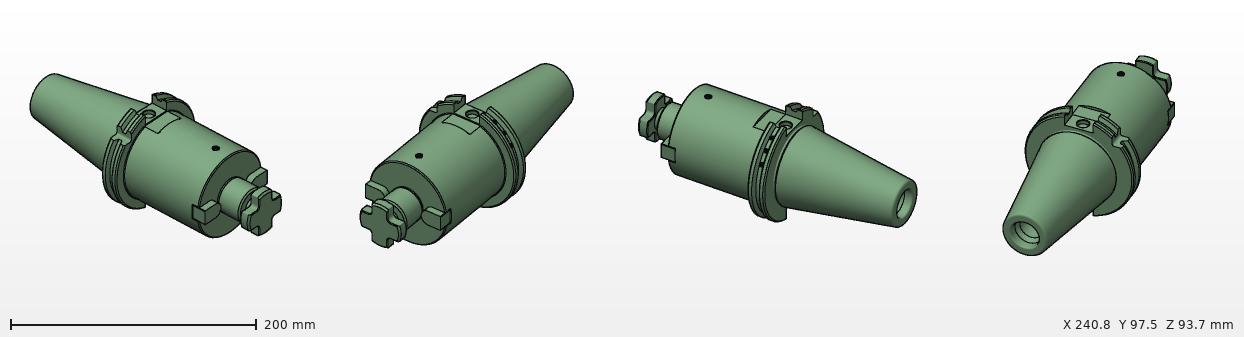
import cadquery as cq
import math

total_length = 240.8

gauge_x = 101.8
gauge_radius = 70.0 / 2
taper_ratio = 7 / 24
taper_tip_radius = gauge_radius - gauge_x * taper_ratio / 2
taper_tip_round = 2.2
neck_radius = 34.2
neck_chamfer_length = 1.2
neck_fillet = 0.7

flange_start = 104.7
flange_end = 120.5
flange_radius = 97.5 / 2
flange_chamfer = 1.2
groove_center_x = 112.7
groove_floor_radius = 45.5
groove_floor_width = 3.4
groove_half_angle = 30.0
groove_lip = 0.5

slot_width = 25.8
slot_rim_chamfer = 0.7
upper_slot_floor = 37.5
lower_slot_floor = 35.5
chip_hole_x = 113.0
chip_hole_diameter = 10.0
chip_hole_rim_diameter = 11.0
chip_hole_depth = 3.9

notch_offset = 29.9
notch_fillet = 2.2

body_radius = 39.0
body_end = 201.7
body_chamfer = 1.0
root_fillet = 0.7
flat_height = 36.4
flat_end = 135.3

pilot_radius = 32.0 / 2
pilot_end = 226.0
pilot_chamfer = 1.5
undercut_radius = 31.3 / 2
undercut_length = 1.7

pilot_bore_radius = 25.0 / 2
pilot_bore_depth = 8.0
mouth_round = 1.5
thread_major_radius = 12.0
thread_start = 9.5
thread_lead_in = 3.5
thread_bore_radius = 21.0 / 2
thread_bore_depth = 48.2
bore_floor_radius = 14.0 / 2
bore_cone_length = 3.4

key_angles = (0, 180)
key_width = 14.0
key_start = 194.8
key_end = 208.2
key_outer_y = 38.0
key_inner_y = 18.3
key_chamfer = 0.5

shank_radius = 17.0 / 2
shank_start = 192.5
head_start = 231.4
head_radius = 41.6 / 2
head_flare_length = 3.0
head_flare_height = 1.0
head_rim_chamfer = 1.7
lobe_width = 16.1
lobe_inner_radius = 3.1
lobe_edge = 0.7

groove_screw_diameter = 3.5
groove_screw_length = 7.2
groove_screw_recess = 1.0
groove_screw_top = groove_floor_radius - groove_screw_recess
groove_screw_angles = (30, 45, 60)
body_screw_diameter = 5.0
body_screw_rim_diameter = 6.0
body_screw_length = 9.6
body_screw_recess = 1.0
body_screw_top = body_radius - body_screw_recess
body_screw_x = 186.0
screw_chamfer_ratio = 0.1
socket_ratio = 0.5
socket_depth_ratio = 0.5


def revolve_about_x(profile):
    return profile.close().revolve(360, (0, 0, 0), (1, 0, 0))


def box_between(x_range, y_range, z_range):
    size = [high - low for low, high in (x_range, y_range, z_range)]
    return cq.Workplane("XY").box(*size, centered=False).translate(
        (x_range[0], y_range[0], z_range[0])
    )


def turned_blank():
    """Taper, neck, flange, body and pilot as one turned outline."""
    root_x = flange_end + root_fillet
    blank = revolve_about_x(
        cq.Workplane("XY")
        .moveTo(0, 0)
        .lineTo(0, taper_tip_radius)
        .lineTo(gauge_x, gauge_radius)
        .lineTo(gauge_x + neck_chamfer_length, neck_radius)
        .lineTo(flange_start - neck_fillet, neck_radius)
        .radiusArc((flange_start, neck_radius + neck_fillet), -neck_fillet)
        .lineTo(flange_start, flange_radius - flange_chamfer)
        .lineTo(flange_start + flange_chamfer, flange_radius)
        .lineTo(flange_end - flange_chamfer, flange_radius)
        .lineTo(flange_end, flange_radius - flange_chamfer)
        .lineTo(flange_end, body_radius + root_fillet)
        .radiusArc((root_x, body_radius), -root_fillet)
        .lineTo(body_end - body_chamfer, body_radius)
        .lineTo(body_end, body_radius - body_chamfer)
        .lineTo(body_end, undercut_radius)
        .lineTo(body_end + undercut_length, undercut_radius)
        .lineTo(body_end + undercut_length, pilot_radius)
        .lineTo(pilot_end - pilot_chamfer, pilot_radius)
        .lineTo(pilot_end, pilot_radius - pilot_chamfer)
        .lineTo(pilot_end, 0)
    )
    return blank.faces("<X").edges().fillet(taper_tip_round)


def gripper_groove():
    """V-groove ring with a flat floor and chamfered lips."""
    half_floor = groove_floor_width / 2
    lip_radius = flange_radius - groove_lip
    half_mouth = half_floor + (lip_radius - groove_floor_radius) * math.tan(math.radians(groove_half_angle))
    half_lip = half_mouth + groove_lip
    return revolve_about_x(
        cq.Workplane("XY")
        .moveTo(groove_center_x - half_floor, groove_floor_radius)
        .lineTo(groove_center_x - half_mouth, lip_radius)
        .lineTo(groove_center_x - half_lip, flange_radius)
        .lineTo(groove_center_x + half_lip, flange_radius)
        .lineTo(groove_center_x + half_mouth, lip_radius)
        .lineTo(groove_center_x + half_floor, groove_floor_radius)
    )


def drawbar_bore():
    """Rounded mouth, pilot bore, conical lead-in and threaded bore with a conical end."""
    return revolve_about_x(
        cq.Workplane("XY")
        .moveTo(0, 0)
        .lineTo(0, pilot_bore_radius + mouth_round)
        .radiusArc((mouth_round, pilot_bore_radius), -mouth_round)
        .lineTo(pilot_bore_depth, pilot_bore_radius)
        .lineTo(thread_start, thread_major_radius)
        .lineTo(thread_start + thread_lead_in, thread_bore_radius)
        .lineTo(thread_bore_depth, thread_bore_radius)
        .lineTo(thread_bore_depth + bore_cone_length, bore_floor_radius)
        .lineTo(thread_bore_depth + bore_cone_length, 0)
    )


def rim_hole(diameter, rim_diameter, bottom, surface):
    """Round hole cutter along Z with a 45 degree chamfer from its rim diameter at the surface."""
    hole = cq.Workplane("XY", origin=(0, 0, bottom)).circle(diameter / 2).extrude(surface - bottom)
    chamfer_depth = (rim_diameter - diameter) / 2
    rim = cq.Solid.makeCone(
        diameter / 2, rim_diameter / 2, chamfer_depth, cq.Vector(0, 0, surface - chamfer_depth)
    )
    return hole.union(cq.Workplane(rim))


def drive_slot(floor_height):
    """Slot cutter on the +Z side, flared where its walls meet the flange rim."""
    half_width = slot_width / 2
    flare_height = math.sqrt(flange_radius**2 - half_width**2) - slot_rim_chamfer
    flare = flange_radius - flare_height
    return (
        cq.Workplane("YZ", origin=(flange_start, 0, 0))
        .moveTo(-half_width, floor_height)
        .lineTo(half_width, floor_height)
        .lineTo(half_width, flare_height)
        .lineTo(half_width + flare, flange_radius)
        .lineTo(-half_width - flare, flange_radius)
        .lineTo(-half_width, flare_height)
        .close()
        .extrude(flange_end - flange_start)
    )


def upper_drive_slot():
    """Slot on the +Z side, the blind round hole in its floor and the flat behind it."""
    flat = box_between((flange_end, flat_end), (-body_radius, body_radius), (flat_height, flange_radius))
    chip_hole = rim_hole(
        chip_hole_diameter, chip_hole_rim_diameter, upper_slot_floor - chip_hole_depth, upper_slot_floor
    )
    return drive_slot(upper_slot_floor).union(flat).union(chip_hole.translate((chip_hole_x, 0, 0)))


def lower_drive_slot():
    """Slot on the -Z side with a half-round end milled into the body."""
    round_end = (
        cq.Workplane("XY", origin=(flange_end, 0, lower_slot_floor))
        .circle(slot_width / 2)
        .extrude(body_radius + root_fillet - lower_slot_floor)
    )
    half_round = round_end.intersect(
        box_between((flange_end, flat_end), (-slot_width, slot_width), (0, flange_radius))
    )
    slot = drive_slot(lower_slot_floor).union(half_round)
    return slot.rotate((0, 0, 0), (1, 0, 0), 180)


def rim_notch():
    """Square notch at the -Y, +Z corner of the flange with a rounded inner edge."""
    return box_between(
        (flange_start, flange_end), (-flange_radius, -notch_offset), (notch_offset, flange_radius)
    ).edges("|X and >Y and <Z").fillet(notch_fillet)


def key_outline(outer_y):
    """Key shape seen along X: straight sides and a full-round inner end."""
    half_width = key_width / 2
    round_center_y = key_inner_y + half_width
    return (
        cq.Workplane("YZ", origin=(key_start, 0, 0))
        .moveTo(outer_y, -half_width)
        .lineTo(outer_y, half_width)
        .lineTo(round_center_y, half_width)
        .threePointArc((key_inner_y, 0), (round_center_y, -half_width))
        .close()
    )


def make_key(angle):
    key = key_outline(key_outer_y).extrude(key_end - key_start)
    key = key.faces(">Y").edges("not >X").chamfer(key_chamfer)
    return key.rotate((0, 0, 0), (1, 0, 0), angle)


def key_seat(angle):
    seat = key_outline(body_radius).extrude(body_end - key_start)
    return seat.rotate((0, 0, 0), (1, 0, 0), angle)


def place_screw(shape, x, angle):
    """Turn a shape standing along +Z by an angle towards +Y and move it along X."""
    return shape.rotate((0, 0, 0), (1, 0, 0), -angle).translate((x, 0, 0))


def set_screw(diameter, length, top_radius):
    """Headless screw along +Z with a hexagon socket in its top."""
    socket_across_corners = diameter * socket_ratio / math.cos(math.radians(30))
    return (
        cq.Workplane("XY", origin=(0, 0, top_radius - length))
        .circle(diameter / 2)
        .extrude(length)
        .faces(">Z")
        .chamfer(diameter * screw_chamfer_ratio)
        .faces(">Z")
        .workplane()
        .polygon(6, socket_across_corners)
        .cutBlind(-diameter * socket_depth_ratio)
    )


def make_groove_screw(angle):
    screw = set_screw(groove_screw_diameter, groove_screw_length, groove_screw_top)
    return place_screw(screw, groove_center_x, angle)


def groove_screw_hole(angle):
    bottom = groove_screw_top - groove_screw_length
    hole = (
        cq.Workplane("XY", origin=(0, 0, bottom))
        .circle(groove_screw_diameter / 2)
        .extrude(flange_radius - bottom)
    )
    return place_screw(hole, groove_center_x, angle)


def make_body_screw():
    screw = set_screw(body_screw_diameter, body_screw_length, body_screw_top)
    return place_screw(screw, body_screw_x, 0)


def body_screw_hole():
    bottom = body_screw_top - body_screw_length
    hole = rim_hole(body_screw_diameter, body_screw_rim_diameter, bottom, body_radius)
    return place_screw(hole, body_screw_x, 0)


def cross_head():
    """Four-lobed screw head with broken edges and a turned chamfer on its outer rim."""
    head_length = total_length - head_start
    head_plane = cq.Workplane("YZ", origin=(head_start, 0, 0))
    disc = head_plane.circle(head_radius).extrude(head_length)
    cross = head_plane.rect(2 * head_radius, lobe_width).extrude(head_length)
    cross = cross.union(head_plane.rect(lobe_width, 2 * head_radius).extrude(head_length))
    inner_corners = cq.selectors.BoxSelector(
        (head_start, -lobe_width, -lobe_width), (total_length, lobe_width, lobe_width)
    )
    tip_corners = cq.selectors.ParallelDirSelector(cq.Vector(1, 0, 0)) - inner_corners
    head = cross.intersect(disc)
    head = head.edges(tip_corners).fillet(lobe_edge)
    head = head.edges(inner_corners).edges("|X").fillet(lobe_inner_radius)
    head = head.faces("<X or >X").chamfer(lobe_edge)
    return head.intersect(disc.faces(">X").chamfer(head_rim_chamfer))


def make_arbor_screw():
    """Plain shank with a concave flare under the cross-shaped head."""
    shank = (
        cq.Workplane("YZ", origin=(shank_start, 0, 0)).circle(shank_radius).extrude(head_start - shank_start)
    )
    flare_start = head_start - head_flare_length
    flare_radius = (head_flare_length**2 + head_flare_height**2) / (2 * head_flare_height)
    flare = revolve_about_x(
        cq.Workplane("XY")
        .moveTo(flare_start, 0)
        .lineTo(flare_start, shank_radius)
        .radiusArc((head_start, shank_radius + head_flare_height), -flare_radius)
        .lineTo(head_start, 0)
    )
    return cross_head().union(shank).union(flare)


def arbor_screw_hole():
    """Blind hole in the pilot that holds the shank."""
    return (
        cq.Workplane("YZ", origin=(shank_start, 0, 0)).circle(shank_radius).extrude(pilot_end - shank_start)
    )


def make_holder():
    holder = turned_blank().cut(gripper_groove()).cut(drawbar_bore())
    holder = holder.cut(upper_drive_slot()).cut(lower_drive_slot()).cut(rim_notch())
    holder = holder.cut(arbor_screw_hole()).cut(body_screw_hole())
    for angle in key_angles:
        holder = holder.cut(key_seat(angle))
    for angle in groove_screw_angles:
        holder = holder.cut(groove_screw_hole(angle))
    return holder


holder = make_holder()
arbor_screw = make_arbor_screw()
body_screw = make_body_screw()
keys = [make_key(angle) for angle in key_angles]
groove_screws = [make_groove_screw(angle) for angle in groove_screw_angles]

bodies = [holder, arbor_screw, body_screw, *keys, *groove_screws]
result = cq.Compound.makeCompound([body.solids().val() for body in bodies])